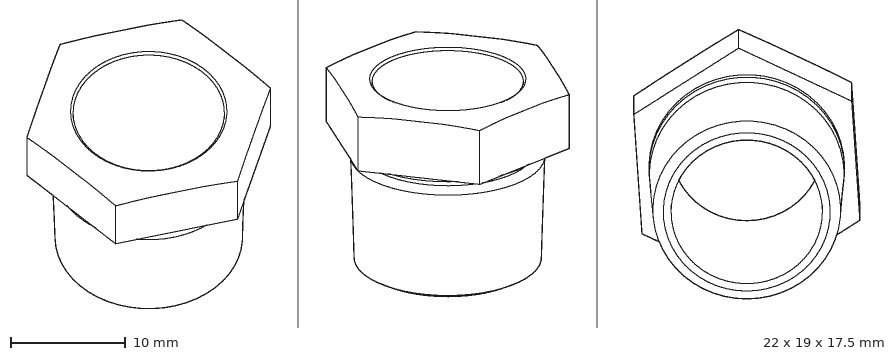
import cadquery as cq
import math

corner_width = 21.95
total_height = 17.5

head_height = 5.33
head_base = total_height - head_height
head_face_radius = 9.76
head_chamfer_angle = math.radians(10)

collar_radius = 8.51
collar_height = 0.68
collar_base = head_base - collar_height

flank_slope = math.tan(math.radians(30))
groove_radius = 7.6
groove_fillet = 0.25

shank_top = 10.2
shank_top_radius = 8.47
taper_per_side = 1 / 32
tip_radius = 7.26

bore_radius = 6.58
bore_chamfer = 0.22


def make_head():
    """Hexagonal prism, corners on the X axis, with a shallow cone trimming its top corners."""
    hexagon = cq.Workplane("XY").workplane(offset=head_base).polygon(6, corner_width).extrude(head_height)
    trim_radius = corner_width / 2 + 0.22
    trim_drop = (trim_radius - head_face_radius) * math.tan(head_chamfer_angle)
    envelope = (
        cq.Workplane("XZ")
        .moveTo(0, head_base)
        .lineTo(trim_radius, head_base)
        .lineTo(trim_radius, total_height - trim_drop)
        .lineTo(head_face_radius, total_height)
        .lineTo(0, total_height)
        .close()
        .revolve(360, (0, 0, 0), (0, 1, 0))
    )
    return hexagon.intersect(envelope)


def make_shank():
    """Revolved shank: bevelled tip, taper, relief groove and collar."""
    bevel_height = (
        (shank_top_radius - shank_top * taper_per_side - tip_radius)
        / (1 / flank_slope - taper_per_side)
    )
    bevel_radius = tip_radius + bevel_height / flank_slope
    groove_bottom = shank_top + (shank_top_radius - groove_radius) * flank_slope

    fillet_turn = math.radians(60)
    fillet_end_radius = groove_radius + groove_fillet * (1 - math.cos(fillet_turn))
    fillet_end = collar_base - (collar_radius - fillet_end_radius) * flank_slope
    fillet_start = fillet_end - groove_fillet * math.sin(fillet_turn)
    fillet_middle = (
        groove_radius + groove_fillet * (1 - math.cos(fillet_turn / 2)),
        fillet_start + groove_fillet * math.sin(fillet_turn / 2),
    )
    return (
        cq.Workplane("XZ")
        .moveTo(0, 0)
        .lineTo(tip_radius, 0)
        .lineTo(bevel_radius, bevel_height)
        .lineTo(shank_top_radius, shank_top)
        .lineTo(groove_radius, groove_bottom)
        .lineTo(groove_radius, fillet_start)
        .threePointArc(fillet_middle, (fillet_end_radius, fillet_end))
        .lineTo(collar_radius, collar_base)
        .lineTo(collar_radius, head_base)
        .lineTo(0, head_base)
        .close()
        .revolve(360, (0, 0, 0), (0, 1, 0))
    )


def make_bore():
    """Through bore, widened by a chamfer at the head face."""
    return (
        cq.Workplane("XZ")
        .lineTo(bore_radius, 0)
        .lineTo(bore_radius, total_height - bore_chamfer)
        .lineTo(bore_radius + bore_chamfer, total_height)
        .lineTo(0, total_height)
        .close()
        .revolve(360, (0, 0, 0), (0, 1, 0))
    )


result = make_head().union(make_shank()).cut(make_bore())